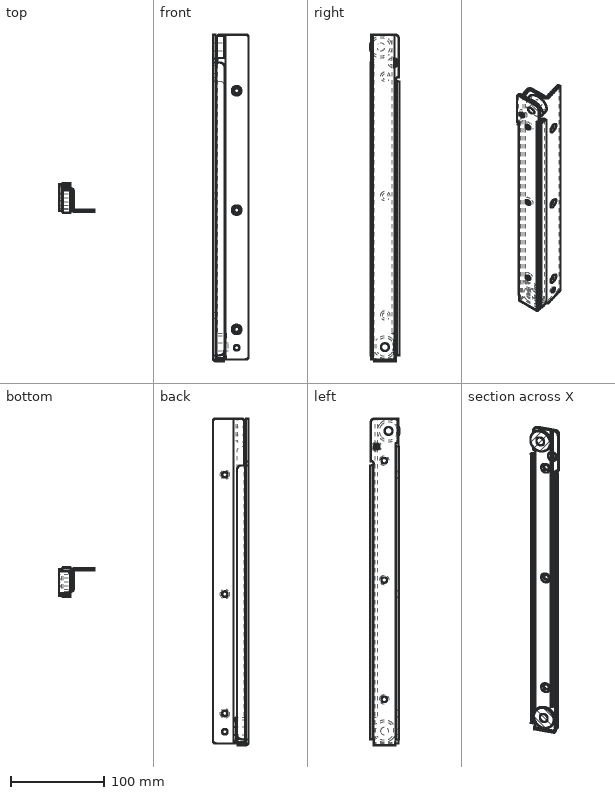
import cadquery as cq

LENGTH = 350.0
WIDTH = 38.5
DEPTH = 32.0

CHANNEL_SHEET = 3.0
CHANNEL_BEND_INNER = 0.88
CHANNEL_BEND_OUTER = CHANNEL_BEND_INNER + CHANNEL_SHEET
CHANNEL_FRONT = 0.7
CHANNEL_LIP = 12.5
CHANNEL_TAB = 12.0
LIP_CORNER = 5.0
TAB_CORNER = 2.8
HEAD_CORNER = 4.2
CHANNEL_LIP_BOTTOM = 6.5
FRONT_LIP_TOP = 320.0
BACK_LIP_TOP = 300.0
HEAD_FRONT_INSET = 1.22
HEAD_BACK_INSET = 0.88
RELIEF_HEIGHT = 4.2
WALL_HOLE_DIA = 6.0
WALL_HOLE_Y = 16.5
WALL_HOLE_TOP_Z = 305.0
HEAD_HOLE_Y = 24.5
HEAD_HOLE_Z = 320.0

BRACKET_SHEET = 2.5
BRACKET_BEND_INNER = 0.7
BRACKET_BEND_OUTER = BRACKET_BEND_INNER + BRACKET_SHEET
FLANGE_CORNER = 3.0
RETURN_CORNER = 2.8
RETURN_CUT_TOP = 29.8
BRACKET_BOTTOM = 2.0
BRACKET_FRONT = 1.0
BRACKET_BACK = 26.2
WEB_RIGHT = 16.0
RETURN_LEFT = 5.0
SCREW_X = 25.5
SCREW_TOP_Z = 289.8
SCREW_DIA = 5.5
LOCATING_HOLE_Z = 14.7

HOLE_COUNT = 3
HOLE_PITCH = 127.8
SCREW_HEAD_DIA = 10.0

ROLLER_DIA = 23.8
ROLLER_END_DIA = 21.0
ROLLER_LEFT = 3.0
ROLLER_RIGHT = 13.5
TREAD_INSET = 2.0
PIN_DIA = 8.5
TOP_ROLLER_Y = ROLLER_DIA / 2
TOP_ROLLER_Z = 336.7
LOW_ROLLER_Y = 16.0
LOW_ROLLER_Z = 15.5

WEB_LEFT = WEB_RIGHT - BRACKET_SHEET

def box(x0, x1, y0, y1, z0, z1):
    """Axis-aligned block between two corners."""
    return cq.Workplane("XY").box(x1 - x0, y1 - y0, z1 - z0, centered=False).translate((x0, y0, z0))

def rod_x(diameter, x0, x1, y, z):
    """Round bar along X."""
    return cq.Workplane("YZ", origin=(x0, y, z)).circle(diameter / 2).extrude(x1 - x0)

def hole_heights(top_z):
    return [top_z - i * HOLE_PITCH for i in range(HOLE_COUNT)]

def lip_strip(edge_y, inward, z0, z1):
    """Lip along the channel with its bend; inward is +1 or -1 along Y."""
    strip = (
        cq.Workplane("XY", origin=(0, 0, z0))
        .moveTo(0, edge_y + inward * CHANNEL_BEND_OUTER)
        .radiusArc((CHANNEL_BEND_OUTER, edge_y), inward * CHANNEL_BEND_OUTER)
        .lineTo(CHANNEL_LIP, edge_y)
        .lineTo(CHANNEL_LIP, edge_y + inward * CHANNEL_SHEET)
        .lineTo(CHANNEL_BEND_OUTER, edge_y + inward * CHANNEL_SHEET)
        .radiusArc((CHANNEL_SHEET, edge_y + inward * CHANNEL_BEND_OUTER), -inward * CHANNEL_BEND_INNER)
        .close()
        .extrude(z1 - z0)
    )
    return strip.edges("|Y and >X").fillet(LIP_CORNER)

def bend_relief(bend_y, outward, z):
    """Round-ended slot above a lip, open on the outward side of its bend."""
    radius = RELIEF_HEIGHT / 2
    round_y = bend_y + outward * radius
    open_y = bend_y + outward * 2 * CHANNEL_BEND_OUTER
    slot = box(0, CHANNEL_SHEET, min(round_y, open_y), max(round_y, open_y), z, z + RELIEF_HEIGHT)
    return slot.union(rod_x(RELIEF_HEIGHT, 0, CHANNEL_SHEET, round_y, z + radius))

def countersink(face, top_dia, bottom_dia):
    """45-degree countersink that goes into the material behind a face workplane."""
    depth = (top_dia - bottom_dia) / 2
    return face.circle(top_dia / 2).workplane(offset=-depth).circle(bottom_dia / 2).loft()

def make_channel():
    tab_front = CHANNEL_FRONT + CHANNEL_BEND_OUTER
    tab_back = DEPTH - CHANNEL_BEND_OUTER
    wall = box(0, CHANNEL_SHEET, tab_front, tab_back, CHANNEL_BEND_OUTER, BACK_LIP_TOP)

    bottom_tab = (
        cq.Workplane("XZ", origin=(0, tab_back, 0))
        .moveTo(0, CHANNEL_BEND_OUTER)
        .radiusArc((CHANNEL_BEND_OUTER, 0), -CHANNEL_BEND_OUTER)
        .lineTo(CHANNEL_TAB, 0)
        .lineTo(CHANNEL_TAB, CHANNEL_SHEET)
        .lineTo(CHANNEL_BEND_OUTER, CHANNEL_SHEET)
        .radiusArc((CHANNEL_SHEET, CHANNEL_BEND_OUTER), CHANNEL_BEND_INNER)
        .close()
        .extrude(tab_back - tab_front)
        .edges("|Z and >X")
        .fillet(TAB_CORNER)
    )

    head_front = CHANNEL_FRONT + HEAD_FRONT_INSET
    head_back = DEPTH - HEAD_BACK_INSET
    front_wing = box(0, CHANNEL_SHEET, head_front, tab_back, FRONT_LIP_TOP, LENGTH)
    back_wing = box(0, CHANNEL_SHEET, tab_front, head_back, BACK_LIP_TOP, LENGTH)
    head = front_wing.union(back_wing).edges("|X and >Z").fillet(HEAD_CORNER)
    head = head.cut(bend_relief(tab_front, -1, FRONT_LIP_TOP))
    head = head.cut(bend_relief(tab_back, 1, BACK_LIP_TOP))

    channel = wall.union(head).union(bottom_tab)
    channel = channel.union(lip_strip(CHANNEL_FRONT, 1, CHANNEL_LIP_BOTTOM, FRONT_LIP_TOP))
    channel = channel.union(lip_strip(DEPTH, -1, CHANNEL_LIP_BOTTOM, BACK_LIP_TOP))

    hole_places = [(WALL_HOLE_Y, z) for z in hole_heights(WALL_HOLE_TOP_Z)]
    hole_places.append((HEAD_HOLE_Y, HEAD_HOLE_Z))
    for y, z in hole_places:
        inner_face = cq.Workplane("YZ", origin=(CHANNEL_SHEET, y, z))
        channel = channel.cut(rod_x(WALL_HOLE_DIA, 0, CHANNEL_SHEET, y, z))
        channel = channel.cut(countersink(inner_face, SCREW_HEAD_DIA, WALL_HOLE_DIA))
    return channel.cut(rod_x(PIN_DIA, 0, CHANNEL_SHEET, TOP_ROLLER_Y, TOP_ROLLER_Z))

def make_bracket():
    inner_front = BRACKET_FRONT + BRACKET_SHEET
    inner_back = BRACKET_BACK - BRACKET_SHEET
    bracket = (
        cq.Workplane("XY", origin=(0, 0, BRACKET_BOTTOM))
        .moveTo(WIDTH, BRACKET_FRONT)
        .lineTo(WEB_LEFT + BRACKET_BEND_OUTER, BRACKET_FRONT)
        .radiusArc((WEB_LEFT, BRACKET_FRONT + BRACKET_BEND_OUTER), BRACKET_BEND_OUTER)
        .lineTo(WEB_LEFT, inner_back - BRACKET_BEND_INNER)
        .radiusArc((WEB_LEFT - BRACKET_BEND_INNER, inner_back), -BRACKET_BEND_INNER)
        .lineTo(RETURN_LEFT, inner_back)
        .lineTo(RETURN_LEFT, BRACKET_BACK)
        .lineTo(WEB_RIGHT - BRACKET_BEND_OUTER, BRACKET_BACK)
        .radiusArc((WEB_RIGHT, BRACKET_BACK - BRACKET_BEND_OUTER), BRACKET_BEND_OUTER)
        .lineTo(WEB_RIGHT, inner_front + BRACKET_BEND_INNER)
        .radiusArc((WEB_RIGHT + BRACKET_BEND_INNER, inner_front), -BRACKET_BEND_INNER)
        .lineTo(WIDTH, inner_front)
        .close()
        .extrude(LENGTH - BRACKET_BOTTOM)
    )
    bracket = bracket.edges("|Y and >X").fillet(FLANGE_CORNER)

    cut_out = box(RETURN_LEFT, WEB_LEFT, inner_front, BRACKET_BACK, BRACKET_BOTTOM, RETURN_CUT_TOP)
    bracket = bracket.cut(cut_out)
    bracket = bracket.edges("|Y and <X and >Z").fillet(RETURN_CORNER)

    flange_face = cq.Workplane("XZ", origin=(SCREW_X, BRACKET_FRONT, 0))
    for z in hole_heights(SCREW_TOP_Z):
        screw = flange_face.center(0, z).circle(SCREW_DIA / 2).extrude(-BRACKET_SHEET)
        sink = countersink(flange_face.center(0, z), SCREW_HEAD_DIA, SCREW_DIA)
        bracket = bracket.cut(screw).cut(sink)
    bracket = bracket.cut(flange_face.center(0, LOCATING_HOLE_Z).circle(SCREW_DIA / 2).extrude(-BRACKET_SHEET))

    return bracket.cut(rod_x(PIN_DIA, WEB_LEFT, WEB_RIGHT, LOW_ROLLER_Y, LOW_ROLLER_Z))

def make_roller(y, z):
    """Roller with a chamfer at each end of its tread."""
    roller = rod_x(ROLLER_DIA, ROLLER_LEFT, ROLLER_RIGHT, y, z)
    rim = (ROLLER_DIA - ROLLER_END_DIA) / 2
    roller = roller.faces("<X or >X").chamfer(rim, TREAD_INSET)
    return roller.cut(rod_x(PIN_DIA, ROLLER_LEFT, ROLLER_RIGHT, y, z))

channel = make_channel()
bracket = make_bracket()
top_roller = make_roller(TOP_ROLLER_Y, TOP_ROLLER_Z)
low_roller = make_roller(LOW_ROLLER_Y, LOW_ROLLER_Z)
top_pin = rod_x(PIN_DIA, 0, ROLLER_RIGHT, TOP_ROLLER_Y, TOP_ROLLER_Z)
low_pin = rod_x(PIN_DIA, ROLLER_LEFT, WEB_RIGHT, LOW_ROLLER_Y, LOW_ROLLER_Z)

result = cq.Compound.makeCompound(
    [channel.val(), bracket.val(), top_roller.val(), low_roller.val(), top_pin.val(), low_pin.val()]
)